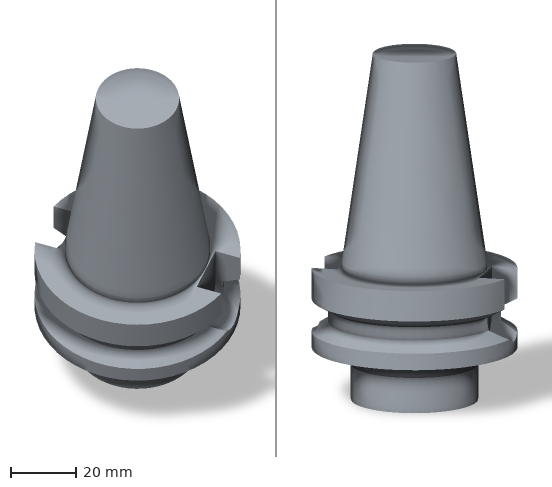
import cadquery as cq

total_height = 108.4
nose_top = 11.1
collar_top = 16.3
lower_rim_top = 21.5
groove_bottom = 24.5
groove_top = 28.6
upper_rim_bottom = 31.5
flange_top = 41.1
taper_start = 43.0

nose_diameter = 39.0
collar_diameter = 49.0
flange_diameter = 63.0
groove_diameter = 52.8
taper_large_diameter = 44.4
taper_small_diameter = 25.5

slot_width = 16.0
slot_bottom = 19.9
slot_floor_distance = 22.4


def turned_body():
    """Revolve the half profile of the holder about Z."""
    diameters_and_heights = [
        (nose_diameter, 0),
        (nose_diameter, nose_top),
        (collar_diameter, collar_top),
        (flange_diameter, collar_top),
        (flange_diameter, lower_rim_top),
        (groove_diameter, groove_bottom),
        (groove_diameter, groove_top),
        (flange_diameter, upper_rim_bottom),
        (flange_diameter, flange_top),
        (taper_large_diameter, flange_top),
        (taper_large_diameter, taper_start),
        (taper_small_diameter, total_height),
    ]
    profile = cq.Workplane("XZ").moveTo(0, 0)
    for diameter, height in diameters_and_heights:
        profile = profile.lineTo(diameter / 2, height)
    return profile.lineTo(0, total_height).close().revolve(360, (0, 0, 0), (0, 1, 0))


def drive_slot(side):
    """Round-bottomed cutter, open at the flange top; side is -1 or +1 along X."""
    half_width = slot_width / 2
    arc_center = slot_bottom + half_width
    depth = flange_diameter / 2 - slot_floor_distance
    return (
        cq.Workplane("YZ", origin=(side * slot_floor_distance, 0, 0))
        .moveTo(-half_width, flange_top)
        .lineTo(-half_width, arc_center)
        .threePointArc((0, slot_bottom), (half_width, arc_center))
        .lineTo(half_width, flange_top)
        .close()
        .extrude(side * depth)
    )


result = turned_body()
for side in (-1, 1):
    result = result.cut(drive_slot(side))